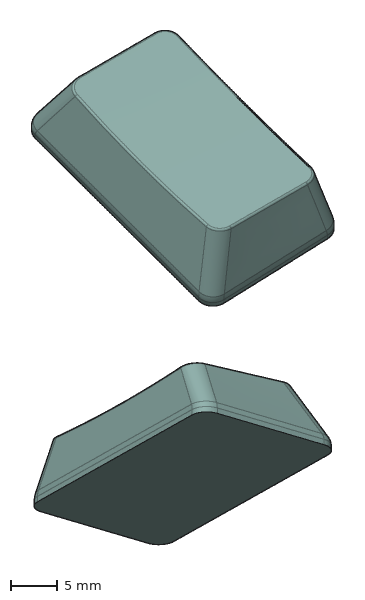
import cadquery as cq
import math

LENGTH = 32.45
WIDTH = 18.16
SKIRT_HEIGHT = 0.64
BLEND_HEIGHT = 0.70
CORNER_RADIUS = 1.95

SIDE_ANGLE = math.radians(24.6)
FRONT_ANGLE = math.radians(26.6)
BACK_ANGLE = math.radians(4.8)

DISH_RADIUS = 180.0
DISH_MID_HEIGHT = 7.05
TOP_TILT = math.radians(3.2)
TOP_EDGE_RADIUS = 0.3
TOP_CORNER_RADIUS = 1.9

RIM_MID_HEIGHT = 7.6
CUTTER_HEIGHT = 3.0


def wall_inset(angle, height):
    """How far a wall has moved inward at a height: an arc first, then a straight slope."""
    blend_radius = BLEND_HEIGHT / math.sin(angle)
    arc_rise = min(height - SKIRT_HEIGHT, BLEND_HEIGHT)
    slope_rise = height - SKIRT_HEIGHT - arc_rise
    arc_inset = blend_radius - math.sqrt(blend_radius**2 - arc_rise**2)
    return arc_inset + slope_rise * math.tan(angle)


def level_section(height):
    """Horizontal rounded rectangle enclosed by the walls at a height."""
    side = wall_inset(SIDE_ANGLE, height)
    front = wall_inset(FRONT_ANGLE, height)
    back = wall_inset(BACK_ANGLE, height)
    outline = cq.Sketch().rect(LENGTH - 2 * side, WIDTH - front - back)
    location = cq.Location(cq.Vector(0, (front - back) / 2, height))
    return outline.vertices().fillet(CORNER_RADIUS).moved(location)


def rim_y(angle, direction):
    """Y at which the front (direction -1) or back (+1) wall meets the tilted rim plane."""
    level_y = WIDTH / 2 - wall_inset(angle, RIM_MID_HEIGHT)
    return direction * level_y / (1 - direction * math.tan(TOP_TILT) * math.tan(angle))


def rim_section():
    """Tilted rounded rectangle on which the walls end; its short sides run parallel to Y."""
    front_y = rim_y(FRONT_ANGLE, -1)
    back_y = rim_y(BACK_ANGLE, 1)
    side = wall_inset(SIDE_ANGLE, RIM_MID_HEIGHT)
    outline = cq.Sketch().rect(LENGTH - 2 * side, (back_y - front_y) / math.cos(TOP_TILT))
    mid_y = (front_y + back_y) / 2
    mid_z = RIM_MID_HEIGHT - mid_y * math.tan(TOP_TILT)
    rim_plane = cq.Plane(
        origin=(0, mid_y, mid_z),
        xDir=(1, 0, 0),
        normal=(0, math.sin(TOP_TILT), math.cos(TOP_TILT)),
    )
    return outline.vertices().fillet(TOP_CORNER_RADIUS).moved(cq.Location(rim_plane))


def walled_body():
    """Vertical skirt, curved blend and four sloping walls with rounded corners."""
    blend_top = SKIRT_HEIGHT + BLEND_HEIGHT
    blend_heights = (SKIRT_HEIGHT, SKIRT_HEIGHT + BLEND_HEIGHT / 2, blend_top)
    skirt = cq.Workplane("XY").placeSketch(level_section(SKIRT_HEIGHT)).extrude(-SKIRT_HEIGHT)
    blend = cq.Workplane("XY").placeSketch(*[level_section(height) for height in blend_heights]).loft()
    slopes = (
        cq.Workplane("XY")
        .placeSketch(level_section(blend_top), rim_section())
        .loft(ruled=True)
    )
    return skirt.union(blend).union(slopes)


def dish_cutter():
    """Block above the typing surface, with a cylindrical underside tilted toward +Y."""
    reach = LENGTH / 2
    rise = DISH_RADIUS - math.sqrt(DISH_RADIUS**2 - reach**2)
    return (
        cq.Workplane("XZ")
        .moveTo(-reach, rise)
        .threePointArc((0, 0), (reach, rise))
        .lineTo(reach, CUTTER_HEIGHT)
        .lineTo(-reach, CUTTER_HEIGHT)
        .close()
        .extrude(WIDTH, both=True)
        .rotate((0, 0, 0), (1, 0, 0), -math.degrees(TOP_TILT))
        .translate((0, 0, DISH_MID_HEIGHT))
    )


def keycap():
    dished = walled_body().cut(dish_cutter())
    typing_surface = dished.faces(">Z")
    return typing_surface.edges().fillet(TOP_EDGE_RADIUS)


result = keycap()